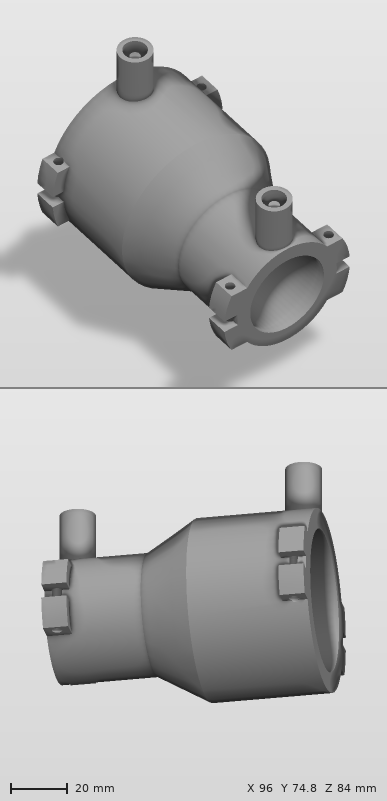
import cadquery as cq

total_length = 96.0
large_length = 43.0
cone_length = 18.5
small_start = large_length + cone_length
large_outer_radius = 32.65
large_bore_radius = 25.4
small_outer_radius = 21.9
small_bore_radius = 16.25

lug_length = 9.0
lug_height = 26.0
lug_slot_height = 5.0
large_lug_radius = 37.5
small_lug_radius = 27.7
screw_diameter = 3.7
screw_inset = 6.0

port_length = 18.7
port_diameter = 13.0
port_bore_diameter = 9.0
pin_diameter = 4.0
pin_recess = 3.0
pin_root_depth = 2.0
port_end_distance = 7.5


def reducer(large_radius, small_radius):
    """Solid of revolution: large cylinder, cone, small cylinder."""
    return (
        cq.Workplane("XY")
        .moveTo(0, 0)
        .lineTo(0, large_radius)
        .lineTo(large_length, large_radius)
        .lineTo(small_start, small_radius)
        .lineTo(total_length, small_radius)
        .lineTo(total_length, 0)
        .close()
        .revolve(360, (0, 0, 0), (1, 0, 0))
    )


def clamp_lugs(start_x, tube_radius, lug_radius):
    """Ring cut down to a band on each side, split by a slot down to the tube surface."""
    middle_x = start_x + lug_length / 2
    width = 2 * lug_radius
    disc = cq.Workplane("YZ", origin=(start_x, 0, 0)).circle(lug_radius).extrude(lug_length)
    band = cq.Workplane("XY").box(lug_length, width, lug_height).translate((middle_x, 0, 0))
    slot = cq.Workplane("XY").box(lug_length, width, lug_slot_height).translate((middle_x, 0, 0))
    core = cq.Workplane("YZ", origin=(start_x, 0, 0)).circle(tube_radius).extrude(lug_length)
    return disc.intersect(band).cut(slot).union(core)


def screw_holes(start_x, lug_radius):
    """Pair of vertical screw holes, one through the lugs on each side."""
    screw_y = lug_radius - screw_inset
    return (
        cq.Workplane("XY", origin=(start_x + lug_length / 2, 0, -lug_radius))
        .pushPoints([(0, -screw_y), (0, screw_y)])
        .circle(screw_diameter / 2)
        .extrude(2 * lug_radius)
    )


def vertical_cylinder(x, diameter, bottom_z, top_z):
    return cq.Workplane("XY", origin=(x, 0, bottom_z)).circle(diameter / 2).extrude(top_z - bottom_z)


lug_ends = [
    (0.0, large_outer_radius, large_lug_radius),
    (total_length - lug_length, small_outer_radius, small_lug_radius),
]
ports = [
    (port_end_distance, large_outer_radius),
    (total_length - port_end_distance, small_outer_radius),
]

body = reducer(large_outer_radius, small_outer_radius)
for start_x, tube_radius, lug_radius in lug_ends:
    body = body.union(clamp_lugs(start_x, tube_radius, lug_radius))
for port_x, tube_radius in ports:
    body = body.union(vertical_cylinder(port_x, port_diameter, 0, tube_radius + port_length))

body = body.cut(reducer(large_bore_radius, small_bore_radius))

for port_x, tube_radius in ports:
    port_top = tube_radius + port_length
    body = body.cut(vertical_cylinder(port_x, port_bore_diameter, tube_radius, port_top))
    pin_root = tube_radius - pin_root_depth
    body = body.union(vertical_cylinder(port_x, pin_diameter, pin_root, port_top - pin_recess))

for start_x, _, lug_radius in lug_ends:
    body = body.cut(screw_holes(start_x, lug_radius))

result = body